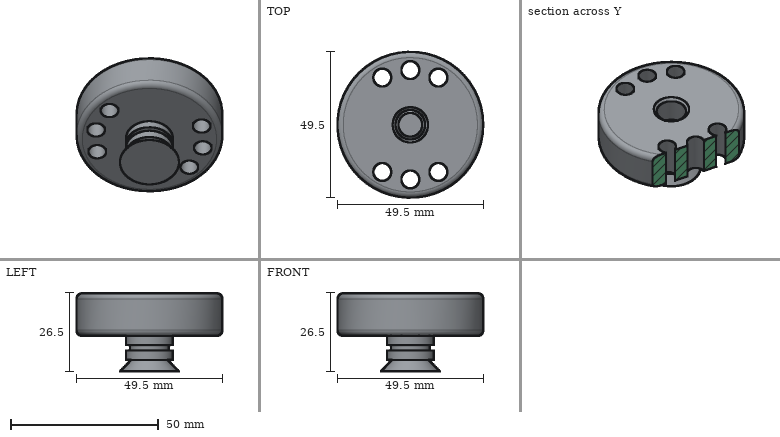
import cadquery as cq

disc_diameter = 49.5
disc_height = 14.5
disc_edge_radius = 2.0

grip_hole_diameter = 6.0
middle_hole_y = 18.5
outer_hole_x = 9.5
outer_hole_y = 16.0

bore_diameter = 10.0
bore_chamfer = 1.0

stem_height = 12.0
cone_base_diameter = 20.0
cone_height = 3.85
cone_top_diameter = 12.55
collar_diameter = 16.0
groove_diameter = 13.2
groove_width = 1.8
groove_corner_radius = 0.25
upper_collar_height = 3.1
spigot_height = 5.95
spigot_chamfer = 1.0


def make_disc():
    """Round knob with rounded rims, a chamfered centre bore and grip holes."""
    disc = (
        cq.Workplane("XY", origin=(0, 0, stem_height))
        .circle(disc_diameter / 2)
        .extrude(disc_height)
        .edges()
        .fillet(disc_edge_radius)
    )
    disc = disc.faces(">Z").workplane().hole(bore_diameter)
    bore_rim = cq.selectors.RadiusNthSelector(0)
    disc = disc.faces(">Z").edges(bore_rim).chamfer(bore_chamfer)

    grip_hole_centres = []
    for side in (-1, 1):
        grip_hole_centres.append((0, side * middle_hole_y))
        grip_hole_centres.append((-outer_hole_x, side * outer_hole_y))
        grip_hole_centres.append((outer_hole_x, side * outer_hole_y))
    grip_holes = (
        cq.Workplane("XY", origin=(0, 0, stem_height))
        .pushPoints(grip_hole_centres)
        .circle(grip_hole_diameter / 2)
        .extrude(disc_height)
    )
    return disc.cut(grip_holes)


def make_groove():
    """Ring that cuts the groove, with rounded corners at its floor."""
    groove_top = stem_height - upper_collar_height
    return (
        cq.Workplane("XY", origin=(0, 0, groove_top - groove_width))
        .circle(collar_diameter / 2)
        .circle(groove_diameter / 2)
        .extrude(groove_width)
        .edges(cq.selectors.RadiusNthSelector(0))
        .fillet(groove_corner_radius)
    )


def make_stem():
    """Turned stem: flared cone, grooved collar and a spigot that fills the lower bore."""
    spigot_top = stem_height + spigot_height
    profile = [
        (0, 0),
        (cone_base_diameter / 2, 0),
        (cone_top_diameter / 2, cone_height),
        (collar_diameter / 2, cone_height),
        (collar_diameter / 2, stem_height),
        (bore_diameter / 2, stem_height),
        (bore_diameter / 2, spigot_top - spigot_chamfer),
        (bore_diameter / 2 - spigot_chamfer, spigot_top),
        (0, spigot_top),
    ]
    stem = cq.Workplane("XZ").polyline(profile).close().revolve(360, (0, 0), (0, 1))
    return stem.cut(make_groove())


disc = make_disc()
stem = make_stem()

result = cq.Compound.makeCompound([disc.solids().val(), stem.solids().val()])